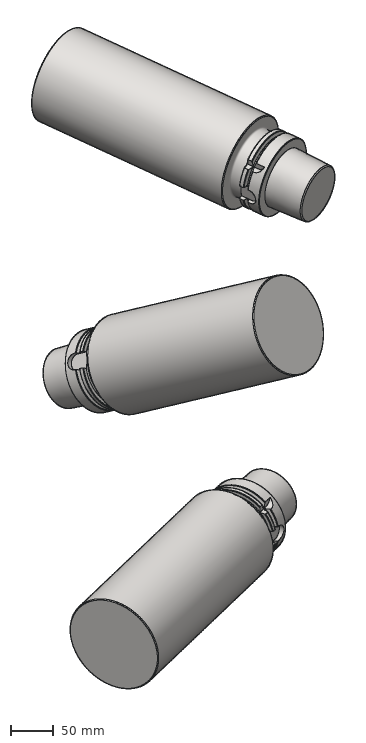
import cadquery as cq
import math

total_length = 365.0
taper_length = 50.0
flange_width = 29.0
body_length = 269.5
flange_end = total_length - taper_length
flange_start = flange_end - flange_width

body_radius = 120.0 / 2
neck_radius = 87.0 / 2
flange_radius = 100.0 / 2
taper_base_radius = 38.0
taper_tip_radius = 36.0

body_chamfer = 1.0
neck_fillet = 2.2
flange_chamfer = 0.7
flange_foot = 1.5
taper_tip_chamfer = 1.5

groove_center = 295.3
groove_floor_width = 2.0
groove_mouth_width = 5.5
groove_floor_radius = 45.3

slot_width = 20.0
slot_end = 310.2
slot_floor_distance = 43.8

notch_corner = 31.5


def turned_body():
    """Revolve the cylinder, neck, flange and taper as one profile about X."""
    profile = (
        cq.Workplane("XY")
        .moveTo(0, 0)
        .lineTo(0, body_radius - body_chamfer)
        .lineTo(body_chamfer, body_radius)
        .lineTo(body_length - body_chamfer, body_radius)
        .lineTo(body_length, body_radius - body_chamfer)
        .lineTo(body_length, neck_radius + neck_fillet)
        .radiusArc((body_length + neck_fillet, neck_radius), -neck_fillet)
        .lineTo(flange_start - flange_foot, neck_radius)
        .lineTo(flange_start, neck_radius + flange_foot)
        .lineTo(flange_start, flange_radius - flange_chamfer)
        .lineTo(flange_start + flange_chamfer, flange_radius)
        .lineTo(groove_center - groove_mouth_width / 2 - flange_chamfer, flange_radius)
        .lineTo(groove_center - groove_mouth_width / 2, flange_radius - flange_chamfer)
        .lineTo(groove_center - groove_floor_width / 2, groove_floor_radius)
        .lineTo(groove_center + groove_floor_width / 2, groove_floor_radius)
        .lineTo(groove_center + groove_mouth_width / 2, flange_radius - flange_chamfer)
        .lineTo(groove_center + groove_mouth_width / 2 + flange_chamfer, flange_radius)
        .lineTo(flange_end - flange_chamfer, flange_radius)
        .lineTo(flange_end, flange_radius - flange_chamfer)
        .lineTo(flange_end, taper_base_radius)
        .lineTo(total_length - taper_tip_chamfer, taper_tip_radius)
        .lineTo(total_length, taper_tip_radius - taper_tip_chamfer)
        .lineTo(total_length, 0)
        .close()
    )
    return profile.revolve(360, (0, 0, 0), (1, 0, 0))


def round_end_slot(floor_y, center_z):
    """Round-ended slot milled along Y, away from the axis, entering the flange from its neck side."""
    half_width = slot_width / 2
    arc_center = slot_end - half_width
    start = body_length + neck_fillet
    side = math.copysign(1, floor_y)
    return (
        cq.Workplane("XZ", origin=(0, floor_y, 0))
        .moveTo(start, center_z - half_width)
        .lineTo(arc_center, center_z - half_width)
        .threePointArc((slot_end, center_z), (arc_center, center_z + half_width))
        .lineTo(start, center_z + half_width)
        .close()
        .extrude(-side * flange_radius)
    )


result = turned_body()
for side in (-1, 1):
    result = result.cut(round_end_slot(side * slot_floor_distance, 0))
result = result.cut(round_end_slot(-notch_corner, notch_corner + slot_width / 2))